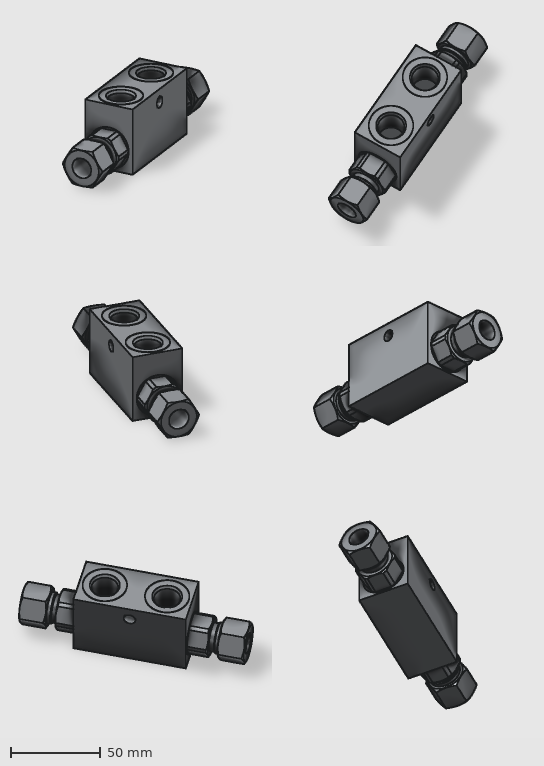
import cadquery as cq
import math

block_width = 30.0
block_length = 65.0
block_height = 40.0

port_spacing = 36.0
port_diameter = 15.0
port_mouth_diameter = 16.9
port_mouth_depth = 1.7
port_depth = 16.9

spot_diameter = 25.0
spot_depth = 0.3

mount_diameter = 6.8
mount_drop = 8.0

overall_length = 130.0
fitting_height = 13.5
hex_flats = 22.0
adapter_length = 11.6
adapter_corner_diameter = 24.0
neck_diameter = 16.4
collar_diameter = 18.0
collar_length = 2.1
collar_taper_length = 0.6
nut_length = 15.3
bevel_diameter = 21.6
bevel_angle = 30.0
bore_diameter = 12.0

hex_corner_diameter = hex_flats / math.cos(math.radians(30))
fitting_length = (overall_length - block_length) / 2
nut_start = fitting_length - nut_length
collar_start = nut_start - collar_length
bore_depth = fitting_length


def turned(points):
    """Solid of revolution about Z from (radius, height) points, closed along the axis."""
    first_height = points[0][1]
    last_height = points[-1][1]
    outline = [(0, first_height)] + points + [(0, last_height)]
    return cq.Workplane("XZ").polyline(outline).close().revolve(360, (0, 0), (0, 1))


def hexagon(start, end, corner_diameter, bevel_start):
    """Hexagon along Z with turned corners, bevelled at the far end and optionally at the start."""
    corner = corner_diameter / 2
    bevel = bevel_diameter / 2
    bevel_length = (corner - bevel) * math.tan(math.radians(bevel_angle))
    envelope = [(bevel, start), (corner, start + bevel_length)] if bevel_start else [(corner, start)]
    envelope += [(corner, end - bevel_length), (bevel, end)]
    prism = cq.Workplane("XY").workplane(offset=start).polygon(6, hex_corner_diameter).extrude(end - start)
    return prism.intersect(turned(envelope))


def fitting():
    """Tube fitting along +Z, rooted in the spot face just below Z = 0."""
    neck = neck_diameter / 2
    collar = collar_diameter / 2
    stem = turned([
        (neck, 0),
        (neck, collar_start - collar_taper_length),
        (collar, collar_start),
        (collar, nut_start),
    ])
    adapter = hexagon(-spot_depth, adapter_length, adapter_corner_diameter, bevel_start=False)
    nut = hexagon(nut_start, fitting_length, hex_corner_diameter, bevel_start=True)
    bore = cq.Workplane("XY").circle(bore_diameter / 2).extrude(bore_depth)
    return adapter.union(stem).union(nut).cut(bore)


def port_cutter():
    """Port with a tapered mouth and a spot face, opening upwards at Z = 0."""
    spot = spot_diameter / 2
    mouth = port_mouth_diameter / 2
    port = port_diameter / 2
    mouth_bottom = -spot_depth - port_mouth_depth
    return turned([
        (port, -port_depth),
        (port, mouth_bottom),
        (mouth, -spot_depth),
        (spot, -spot_depth),
        (spot, 0),
    ])


def on_both_ends(shape):
    """Stand a shape modelled along +Z on the front and the back end face of the block."""
    back = shape.rotate((0, 0, 0), (1, 0, 0), -90).translate((0, block_length / 2, fitting_height))
    return back.union(back.mirror("XZ"))


block = cq.Workplane("XY").box(block_width, block_length, block_height, centered=(True, True, False))

mount_hole = (
    cq.Workplane("YZ")
    .center(0, block_height - mount_drop)
    .circle(mount_diameter / 2)
    .extrude(block_width, both=True)
)
block = block.cut(mount_hole)

for side in (-1, 1):
    block = block.cut(port_cutter().translate((0, side * port_spacing / 2, block_height)))

end_spot = cq.Workplane("XY").circle(spot_diameter / 2).extrude(-spot_depth)
block = block.cut(on_both_ends(end_spot))

result = block.union(on_both_ends(fitting()))